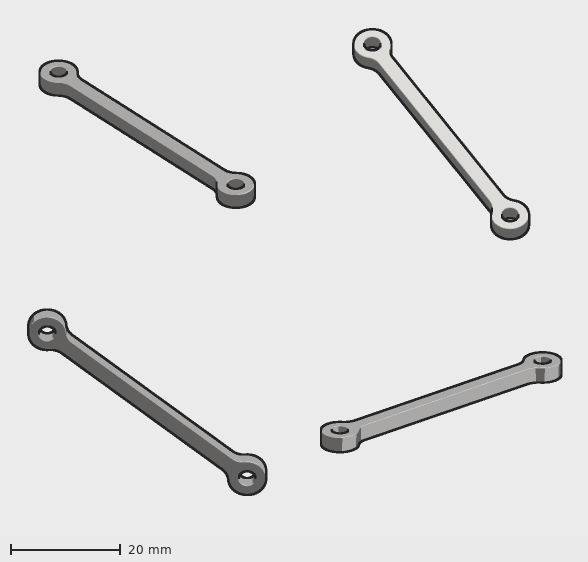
import cadquery as cq
import math

overall_length = 54.5
eye_diameter = 7.0
hole_diameter = 3.0
bar_width = 3.0
thickness = 3.0
blend_radius = 3.0
edge_rounding = 0.15

eye_radius = eye_diameter / 2
half_width = bar_width / 2
eye_x = overall_length / 2 - eye_radius

blend_center_y = half_width + blend_radius
blend_center_offset = math.sqrt((eye_radius + blend_radius) ** 2 - blend_center_y ** 2)
blend_angle = math.atan2(blend_center_y, blend_center_offset)
bar_end_x = eye_x - blend_center_offset
eye_tangent_x = eye_x - eye_radius * math.cos(blend_angle)
eye_tangent_y = eye_radius * math.sin(blend_angle)

blend_mid_angle = (blend_angle + math.pi / 2) / 2
blend_mid_x = bar_end_x + blend_radius * math.cos(blend_mid_angle)
blend_mid_y = blend_center_y - blend_radius * math.sin(blend_mid_angle)


def link_body():
    """Bar with a round eye at each end, centered on the origin."""
    outline = (
        cq.Workplane("XY")
        .workplane(offset=-thickness / 2)
        .moveTo(-bar_end_x, half_width)
        .lineTo(bar_end_x, half_width)
        .threePointArc((blend_mid_x, blend_mid_y), (eye_tangent_x, eye_tangent_y))
        .threePointArc((eye_x + eye_radius, 0), (eye_tangent_x, -eye_tangent_y))
        .threePointArc((blend_mid_x, -blend_mid_y), (bar_end_x, -half_width))
        .lineTo(-bar_end_x, -half_width)
        .threePointArc((-blend_mid_x, -blend_mid_y), (-eye_tangent_x, -eye_tangent_y))
        .threePointArc((-eye_x - eye_radius, 0), (-eye_tangent_x, eye_tangent_y))
        .threePointArc((-blend_mid_x, blend_mid_y), (-bar_end_x, half_width))
        .close()
    )
    return outline.extrude(thickness)


def drill_eyes(body):
    """Through hole on the axis of each eye."""
    return (
        body.faces(">Z")
        .workplane(origin=(0, 0, 0))
        .pushPoints([(-eye_x, 0), (eye_x, 0)])
        .hole(hole_diameter)
    )


def round_edges(body):
    """Round the outline and hole edges on the top and bottom faces."""
    return body.faces("|Z").edges().fillet(edge_rounding)


result = round_edges(drill_eyes(link_body()))